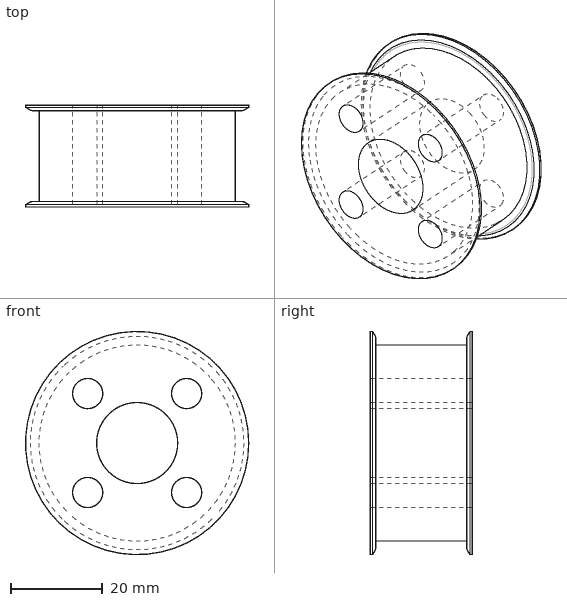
import cadquery as cq

flange_diameter = 48.65
barrel_diameter = 42.75
width = 22.2

rim_width = 0.55
bevel_width = 0.65
bevel_height = 1.05
shallow_bevel_width = 0.1
shallow_bevel_height = 0.45

bore_diameter = 17.6
bolt_hole_diameter = 6.5
bolt_hole_spacing = 21.55

flange_radius = flange_diameter / 2
barrel_radius = barrel_diameter / 2
half_width = width / 2


def flange_profile():
    """Half-section points (radius, axial position) of the +Y flange, from inside to outside."""
    bevel_start = half_width - rim_width
    bevel_end = bevel_start - bevel_width
    bevel_end_radius = flange_radius - bevel_height
    inner_face = bevel_end - shallow_bevel_width
    return [
        (barrel_radius, inner_face),
        (bevel_end_radius - shallow_bevel_height, inner_face),
        (bevel_end_radius, bevel_end),
        (flange_radius, bevel_start),
        (flange_radius, half_width),
    ]


def make_roller():
    """Solid barrel with a mirrored flange at each end, revolved about Y."""
    far_side = flange_profile()
    near_side = [(radius, -y) for radius, y in reversed(far_side)]
    outline = [(0, -half_width)] + near_side + far_side + [(0, half_width)]
    return cq.Workplane("XY").polyline(outline).close().revolve(360, (0, 0, 0), (0, 1, 0))


def make_holes():
    """Central bore and four bolt holes on a square pattern."""
    base = cq.Workplane("XZ")
    bore = base.circle(bore_diameter / 2).extrude(half_width, both=True)
    bolt_holes = (
        base.rect(bolt_hole_spacing, bolt_hole_spacing, forConstruction=True)
        .vertices()
        .circle(bolt_hole_diameter / 2)
        .extrude(half_width, both=True)
    )
    return bore.union(bolt_holes)


result = make_roller().cut(make_holes())